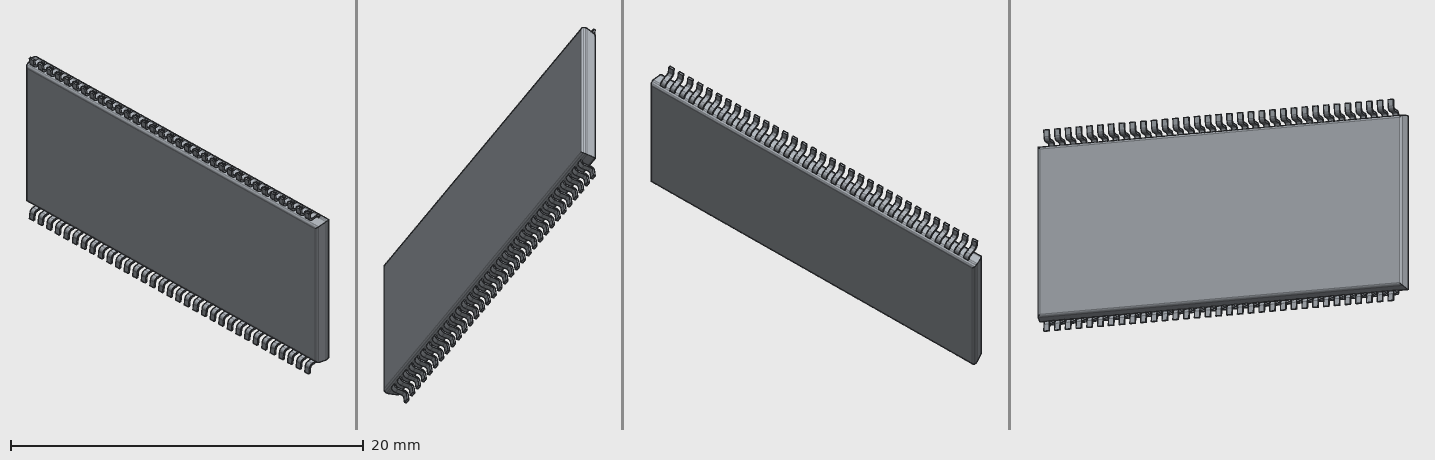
import cadquery as cq
import math

body_length = 22.22
body_width = 10.15
body_thickness = 1.0
draft_angle = 10.0
front_edge_radius = 0.15
back_edge_radius = 0.1
band_thickness = 0.1

lead_count = 33
lead_row_length = 20.8
lead_pitch = lead_row_length / (lead_count - 1)
lead_width = 0.3
lead_thickness = 0.127
lead_span = 11.75
lead_depth = 0.22
bend_radius_inner = 0.13
bend_radius_outer = bend_radius_inner + lead_thickness
foot_tilt = 7.0
lead_embed = 0.22
shank_clearance = 0.18

overall_thickness = 1.2
back_y = overall_thickness / 2
foot_y = -overall_thickness / 2
front_y = back_y - body_thickness
lead_back_y = back_y - lead_depth
lead_front_y = lead_back_y - lead_thickness
band_front_y = lead_back_y - band_thickness

lead_root_z = body_width / 2 - lead_embed
lead_tip_z = lead_span / 2
shank_low_z = body_width / 2 + shank_clearance
shank_high_z = shank_low_z + lead_thickness


def body_slab(start_y, end_y, taper):
    """Full-size rectangle at start_y, extruded to end_y and narrowed by the taper."""
    facing = 1 if end_y > start_y else -1
    plane = cq.Plane(origin=(0, start_y, 0), xDir=(1, 0, 0), normal=(0, facing, 0))
    outline = cq.Workplane(plane).rect(body_length, body_width)
    return outline.extrude(abs(end_y - start_y), taper=taper)


def make_body():
    """Straight band at the level of the leads, with drafted halves and rounded rims."""
    band = body_slab(lead_back_y, band_front_y, 0)
    back_half = body_slab(lead_back_y, back_y, draft_angle)
    back_half = back_half.faces(">Y").edges().fillet(back_edge_radius)
    front_half = body_slab(band_front_y, front_y, draft_angle)
    front_half = front_half.faces("<Y").edges().fillet(front_edge_radius)
    return band.union(back_half).union(front_half)


def on_bend(center, radius, angle):
    """Point on a bend arc, at an angle in degrees from +Y toward +Z."""
    return (
        center[0] + radius * math.cos(math.radians(angle)),
        center[1] + radius * math.sin(math.radians(angle)),
    )


def make_lead():
    """Upper lead at X = 0: out of the body, forward along the shank, then up the tilted foot."""
    tilt = math.radians(foot_tilt)
    root_bend = (lead_front_y - bend_radius_inner, shank_low_z - bend_radius_inner)

    foot_bend_z = shank_high_z + bend_radius_inner
    heel_z = foot_bend_z - bend_radius_outer * math.sin(tilt)
    heel_y = foot_y + (lead_tip_z - heel_z) * math.tan(tilt)
    foot_bend = (heel_y + bend_radius_outer * math.cos(tilt), foot_bend_z)
    foot_angle = 180 + foot_tilt
    foot_bend_middle = (foot_angle + 270) / 2
    tip_back_y = foot_y + lead_thickness / math.cos(tilt)

    profile = (
        cq.Workplane("YZ", origin=(-lead_width / 2, 0, 0))
        .moveTo(lead_back_y, lead_root_z)
        .lineTo(lead_back_y, root_bend[1])
        .threePointArc(on_bend(root_bend, bend_radius_outer, 45), (root_bend[0], shank_high_z))
        .lineTo(foot_bend[0], shank_high_z)
        .threePointArc(
            on_bend(foot_bend, bend_radius_inner, foot_bend_middle),
            on_bend(foot_bend, bend_radius_inner, foot_angle),
        )
        .lineTo(tip_back_y, lead_tip_z)
        .lineTo(foot_y, lead_tip_z)
        .lineTo(heel_y, heel_z)
        .threePointArc(
            on_bend(foot_bend, bend_radius_outer, foot_bend_middle),
            (foot_bend[0], shank_low_z),
        )
        .lineTo(root_bend[0], shank_low_z)
        .threePointArc(on_bend(root_bend, bend_radius_inner, 45), (lead_front_y, root_bend[1]))
        .lineTo(lead_front_y, lead_root_z)
        .close()
    )
    return profile.extrude(lead_width)


def make_all_leads():
    """Both rows of leads, centred along the length of the body."""
    upper_lead = make_lead()
    lower_lead = upper_lead.mirror("XY")
    leads = []
    for index in range(lead_count):
        x = (index - (lead_count - 1) / 2) * lead_pitch
        leads.append(upper_lead.translate((x, 0, 0)).val())
        leads.append(lower_lead.translate((x, 0, 0)).val())
    return leads


body = make_body().val()
result = cq.Workplane(body.fuse(*make_all_leads()))